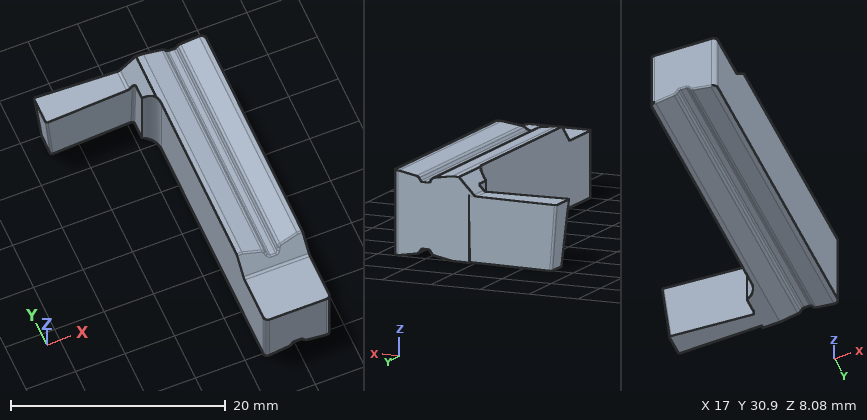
import math

import cadquery as cq

LENGTH_X = 16.97
LENGTH_Y = 30.91
HEIGHT = 8.08
ARM_HEIGHT = 6.4
CLEARANCE = 1.0
SELECTION_MARGIN = 0.1

TIP_WIDTH = 3.0
SIDE_TAPER = math.tan(math.radians(2.5))
SIDE_RELIEF = math.tan(math.radians(2.5))
TIP_RELIEF = math.tan(math.radians(5.5))
TIP_CORNER_RADIUS = 0.2
ARM_ROOT_RADIUS = 0.25

SHANK_WIDTH = 6.64
SHANK_LEFT = LENGTH_X - SHANK_WIDTH
SHANK_CENTER = LENGTH_X - SHANK_WIDTH / 2
SHOULDER_X = 9.13
SHOULDER_RADIUS = 2.0
SHOULDER_ARC_END_Y = -6.15
BACK_CORNER_RADIUS = 0.5
FRONT_CORNER_RADIUS = 0.45

STEP_DEPTH = HEIGHT - ARM_HEIGHT
ARM_RAMP_FOOT_X = 8.475
FRONT_LEDGE_LENGTH = 5.07
RAMP_FOOT_RADIUS = 0.42
RAMP_TOP_RADIUS = 0.28
RAMP_ANGLE = math.radians(45)

VEE_HALF_WIDTH = 2.77
VEE_ANGLE = math.radians(10)
GROOVE_HALF_WIDTH = 0.76
GROOVE_FLOOR_HALF_WIDTH = 0.4
GROOVE_DEPTH = 0.85
GROOVE_LIP_RADIUS = 0.43
GROOVE_FLOOR_RADIUS = 0.23
FRONT_EDGE_RADIUS = 0.15


def arm_section(z):
    """Corners of the arm's horizontal section at height z, from the tip into the shoulder."""
    drop = ARM_HEIGHT - z
    root_x = SHOULDER_X + ARM_ROOT_RADIUS
    tip_x = drop * TIP_RELIEF

    def back_y(x):
        return -x * SIDE_TAPER - drop * SIDE_RELIEF

    def front_y(x):
        return -TIP_WIDTH - back_y(x)

    return [
        (tip_x, back_y(tip_x)),
        (root_x, back_y(root_x)),
        (root_x, front_y(root_x)),
        (tip_x, front_y(tip_x)),
    ]


def make_arm():
    """Tapered arm, full height, with the upright corners of its tip rounded."""
    arm = (
        cq.Workplane("XY")
        .polyline(arm_section(0))
        .close()
        .workplane(offset=HEIGHT)
        .polyline(arm_section(HEIGHT))
        .close()
        .loft(ruled=True, combine=True)
    )
    tip_edges = cq.selectors.BoxSelector(
        (-CLEARANCE, -TIP_WIDTH - CLEARANCE, HEIGHT / 4),
        (CLEARANCE, CLEARANCE, 3 * HEIGHT / 4),
    )
    return arm.edges(tip_edges).fillet(TIP_CORNER_RADIUS)


def make_shank():
    """Upright shank with the shoulder, its concave blend and the rounded back corner."""
    arc_center_x = SHANK_LEFT - SHOULDER_RADIUS
    reach = SHOULDER_X - arc_center_x
    arc_start_y = SHOULDER_ARC_END_Y + math.sqrt(SHOULDER_RADIUS**2 - reach**2)
    half_angle = math.acos(reach / SHOULDER_RADIUS) / 2
    arc_middle = (
        arc_center_x + SHOULDER_RADIUS * math.cos(half_angle),
        SHOULDER_ARC_END_Y + SHOULDER_RADIUS * math.sin(half_angle),
    )
    shank = (
        cq.Workplane("XY")
        .moveTo(SHOULDER_X, -SHOULDER_X * SIDE_TAPER)
        .lineTo(SHOULDER_X, arc_start_y)
        .threePointArc(arc_middle, (SHANK_LEFT, SHOULDER_ARC_END_Y))
        .lineTo(SHANK_LEFT, -LENGTH_Y)
        .lineTo(LENGTH_X, -LENGTH_Y)
        .lineTo(LENGTH_X, -LENGTH_X * SIDE_TAPER)
        .close()
        .extrude(HEIGHT)
    )
    back_corner = cq.selectors.NearestToPointSelector((LENGTH_X, -LENGTH_X * SIDE_TAPER, HEIGHT / 2))
    return shank.edges(back_corner).fillet(BACK_CORNER_RADIUS)


def trim_back(body):
    """Keep the arm from standing proud of the shank's upright back face."""
    trim = (
        cq.Workplane("XY")
        .polyline([(0, 0), (LENGTH_X, -LENGTH_X * SIDE_TAPER), (LENGTH_X, CLEARANCE), (0, CLEARANCE)])
        .close()
        .extrude(HEIGHT)
    )
    return body.cut(trim)


def fillet_arm_root(body):
    root_y = arm_section(ARM_HEIGHT / 2)[2][1]
    root_edge = cq.selectors.NearestToPointSelector((SHOULDER_X, root_y, HEIGHT / 2))
    return body.edges(root_edge).fillet(ARM_ROOT_RADIUS)


def ramp_profile(plane, start, foot):
    """Closed outline of the space above a low ledge that ends in a 45 degree ramp at its foot."""
    rise = STEP_DEPTH + CLEARANCE
    direction = math.copysign(1, foot - start)
    tangent = RAMP_FOOT_RADIUS * math.tan(RAMP_ANGLE / 2)
    arc_start = foot - direction * tangent
    sag = RAMP_FOOT_RADIUS * (1 - math.cos(RAMP_ANGLE / 2))
    arc_middle = (
        arc_start + direction * RAMP_FOOT_RADIUS * math.sin(RAMP_ANGLE / 2),
        ARM_HEIGHT + sag,
    )
    arc_end = (
        foot + direction * tangent * math.cos(RAMP_ANGLE),
        ARM_HEIGHT + tangent * math.sin(RAMP_ANGLE),
    )
    return (
        cq.Workplane(plane)
        .moveTo(start, ARM_HEIGHT)
        .lineTo(arc_start, ARM_HEIGHT)
        .threePointArc(arc_middle, arc_end)
        .lineTo(foot + direction * rise, ARM_HEIGHT + rise)
        .lineTo(start, ARM_HEIGHT + rise)
        .close()
    )


def cut_ramps(body):
    above_arm = ramp_profile("XZ", -CLEARANCE, ARM_RAMP_FOOT_X).extrude(LENGTH_Y, both=True)
    front_end = -LENGTH_Y
    above_ledge = ramp_profile(
        "YZ", front_end - CLEARANCE, front_end + FRONT_LEDGE_LENGTH
    ).extrude(LENGTH_X + CLEARANCE)
    return body.cut(above_arm).cut(above_ledge)


def make_vee_cutter():
    """Full-length cutter for the V and groove of the top face."""
    lip_z = HEIGHT - (VEE_HALF_WIDTH - GROOVE_HALF_WIDTH) * math.tan(VEE_ANGLE)
    floor_z = HEIGHT - GROOVE_DEPTH
    right_half = [
        (GROOVE_FLOOR_HALF_WIDTH, floor_z),
        (GROOVE_HALF_WIDTH, lip_z),
        (VEE_HALF_WIDTH, HEIGHT),
    ]
    left_half = [(-x, z) for x, z in reversed(right_half)]
    cutter = (
        cq.Workplane("XZ")
        .polyline(left_half + right_half)
        .close()
        .extrude(LENGTH_Y + CLEARANCE)
        .translate((SHANK_CENTER, 0, 0))
    )

    def round_pair(solid, half_width, z, radius):
        for side in (-1, 1):
            point = (SHANK_CENTER + side * half_width, -LENGTH_Y / 2, z)
            solid = solid.edges(cq.selectors.NearestToPointSelector(point)).fillet(radius)
        return solid

    cutter = round_pair(cutter, GROOVE_HALF_WIDTH, lip_z, GROOVE_LIP_RADIUS)
    return round_pair(cutter, GROOVE_FLOOR_HALF_WIDTH, floor_z, GROOVE_FLOOR_RADIUS)


def cut_vees(body):
    top_cutter = make_vee_cutter()
    bottom_cutter = top_cutter.mirror("XY", (0, 0, HEIGHT / 2))
    return body.cut(top_cutter).cut(bottom_cutter)


def round_grooved_edges(body):
    """Round the edge above the front ramp and the lower edge of the front end."""
    ramp_bottom_y = -LENGTH_Y + FRONT_LEDGE_LENGTH
    ramp_top_y = ramp_bottom_y + STEP_DEPTH
    deepest_z = HEIGHT - GROOVE_DEPTH
    ramp_edge = cq.selectors.BoxSelector(
        (SHANK_LEFT + SELECTION_MARGIN, ramp_bottom_y, deepest_z - SELECTION_MARGIN),
        (LENGTH_X - SELECTION_MARGIN, ramp_top_y + SELECTION_MARGIN, HEIGHT + SELECTION_MARGIN),
    )
    body = body.edges(ramp_edge).fillet(RAMP_TOP_RADIUS)
    front_edge = cq.selectors.BoxSelector(
        (SHANK_LEFT, -LENGTH_Y - SELECTION_MARGIN, -SELECTION_MARGIN),
        (LENGTH_X, -LENGTH_Y + SELECTION_MARGIN, GROOVE_DEPTH + SELECTION_MARGIN),
    )
    return body.edges(front_edge).fillet(FRONT_EDGE_RADIUS)


def round_front_corners(body):
    """Cut away the upright front corners, leaving the lower side edges of the shank sharp."""
    sharp_end = cq.Workplane("XY").box(SHANK_WIDTH, 2 * FRONT_CORNER_RADIUS, HEIGHT)
    round_end = sharp_end.edges("|Z and <Y").fillet(FRONT_CORNER_RADIUS)
    corners = sharp_end.cut(round_end).translate(
        (SHANK_CENTER, -LENGTH_Y + FRONT_CORNER_RADIUS, HEIGHT / 2)
    )
    return body.cut(corners)


body = trim_back(make_shank().union(make_arm()))
body = fillet_arm_root(body)
body = cut_ramps(body)
body = cut_vees(body)
body = round_grooved_edges(body)
result = round_front_corners(body)